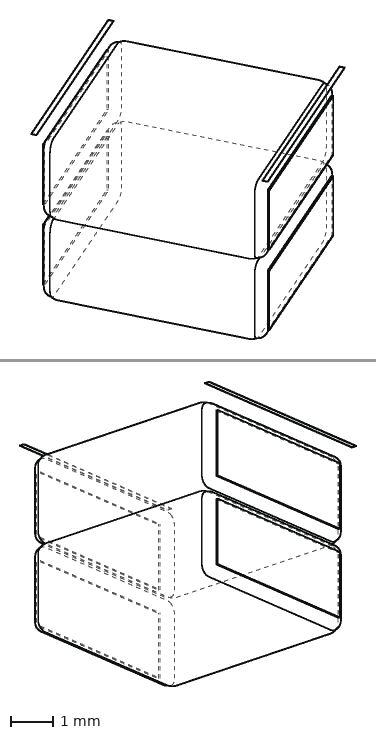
import cadquery as cq

chip_count = 2
chip_length = 5.755
chip_width = 5.005
chip_height = 2.285

core_length = 5.465
core_radius = 0.3

cap_inset = 0.05
cap_length = 5.665
cap_radius = core_radius - cap_inset

strip_span_x = 6.0
strip_width = 0.13
strip_length = 5.3
strip_thickness = 0.01
strip_top = 4.83


def rounded_box(length, width, height, radius):
    """Box centred on the origin with all its edges rounded."""
    return cq.Workplane("XY").box(length, width, height).edges().fillet(radius)


def make_chip(centre_z):
    """One chip: rounded core, rounded end caps and flat end pads, all one solid."""
    core = rounded_box(core_length, chip_width, chip_height, core_radius)
    caps = rounded_box(
        cap_length,
        chip_width - 2 * cap_inset,
        chip_height - 2 * cap_inset,
        cap_radius,
    )
    pads = cq.Workplane("XY").box(
        chip_length,
        chip_width - 2 * core_radius,
        chip_height - 2 * core_radius,
    )
    chip = core.union(caps).union(pads)
    return chip.translate((0, 0, centre_z))


def make_strip(side):
    """Flat strip along Y; side is -1 for the -X strip and +1 for the +X strip."""
    centre_x = side * (strip_span_x - strip_width) / 2
    centre_z = strip_top - strip_thickness / 2
    strip = cq.Workplane("XY").box(strip_width, strip_length, strip_thickness)
    return strip.translate((centre_x, 0, centre_z))


chips = [make_chip((level + 0.5) * chip_height) for level in range(chip_count)]
strips = [make_strip(side) for side in (-1, 1)]

bodies = [solid for body in chips + strips for solid in body.solids().vals()]
result = cq.Compound.makeCompound(bodies)